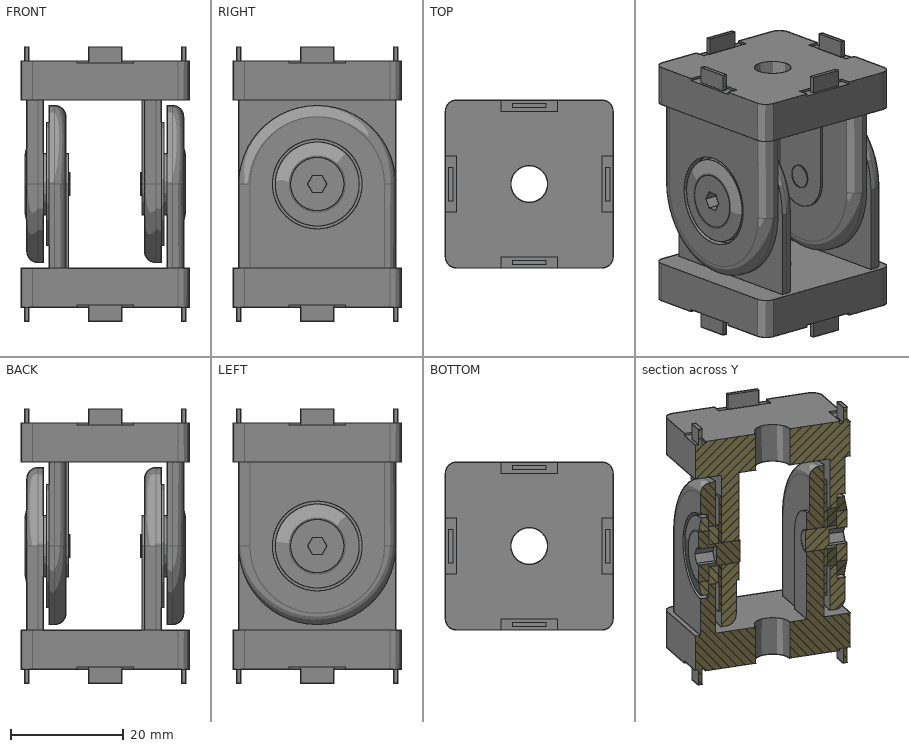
import cadquery as cq

total_height = 49.0
base_side = 30.0
base_thickness = 7.0
base_corner_radius = 2.0
base_hole_diameter = 6.5

tab_height = 2.5
tab_width = 6.0
tab_thickness = 0.8
tab_inset = 0.6
notch_width = 10.0
notch_reach = 2.0
notch_depth = 0.4

ear_radius = 14.0
ear_thickness = 3.0
ear_fillet = 2.0
ear_gap = 1.05
boss_height = 0.5
boss_width = 11.0

cap_diameter = 15.0
cap_rim_diameter = 10.0
cap_cone_height = 0.5
cap_protrusion = 0.35
cap_seat_depth = 1.5
cap_pocket_diameter = 16.0
hub_diameter = 11.0
washer_diameter = 22.0
washer_thickness = 0.5
head_diameter = 9.5
head_depth = 2.0
shank_diameter = 4.1
shank_overhang = 0.2
socket_across_flats = 3.0
socket_depth = 3.5

base_top = total_height / 2 - tab_height
base_bottom = base_top - base_thickness

outer_ear_face = -ear_radius
outer_ear_back = outer_ear_face + ear_thickness
inner_ear_back = outer_ear_back + ear_gap
inner_ear_face = inner_ear_back + ear_thickness
washer_face = inner_ear_back - washer_thickness
boss_face = inner_ear_face + boss_height
cap_face = outer_ear_face - cap_protrusion
cap_cone_base = cap_face + cap_cone_height
cap_seat = outer_ear_face + cap_seat_depth
head_seat = cap_face + head_depth
shank_end = boss_face + shank_overhang


def rod(diameter, x_start, x_end):
    """Solid cylinder on the pivot axis between two stations along X."""
    return cq.Workplane("YZ", origin=(x_start, 0, 0)).circle(diameter / 2).extrude(x_end - x_start)


def tongue(half_width, x_start, thickness):
    """Plate hanging from the upper base, its lower end rounded about the pivot axis."""
    return (
        cq.Workplane("YZ", origin=(x_start, 0, 0))
        .moveTo(-half_width, base_bottom)
        .lineTo(-half_width, 0)
        .threePointArc((0, -half_width), (half_width, 0))
        .lineTo(half_width, base_bottom)
        .close()
        .extrude(thickness)
    )


def make_ear(x_start):
    """Ear whose -X face is rounded over along the sides and the lower end."""
    ear = tongue(ear_radius, x_start, ear_thickness)
    return ear.faces("<X").edges("not >Z").fillet(ear_fillet)


def make_base():
    """Square base plate with its centre hole and four notched tabs."""
    base = (
        cq.Workplane("XY", origin=(0, 0, base_bottom))
        .rect(base_side, base_side)
        .extrude(base_thickness)
        .edges("|Z")
        .fillet(base_corner_radius)
    )
    base = base.cut(
        cq.Workplane("XY", origin=(0, 0, base_bottom)).circle(base_hole_diameter / 2).extrude(base_thickness)
    )
    notch_floor = base_top - notch_depth
    notch = cq.Workplane("XY", origin=(base_side / 2 - notch_reach / 2, 0, notch_floor))
    notch = notch.rect(notch_reach, notch_width).extrude(notch_depth)
    tab = cq.Workplane("XY", origin=(base_side / 2 - tab_inset - tab_thickness / 2, 0, notch_floor))
    tab = tab.rect(tab_thickness, tab_width).extrude(notch_depth + tab_height)
    for angle in (0, 90, 180, 270):
        base = base.cut(notch.rotate((0, 0, 0), (0, 0, 1), angle))
        base = base.union(tab.rotate((0, 0, 0), (0, 0, 1), angle))
    return base


def make_upper_yoke():
    """Upper yoke: outer ear of the left pivot and inner ear of the right pivot."""
    outer_ear = make_ear(outer_ear_face)
    outer_ear = outer_ear.cut(rod(cap_pocket_diameter, outer_ear_face, cap_seat))
    outer_ear = outer_ear.cut(rod(hub_diameter, cap_seat, outer_ear_back))

    inner_ear = make_ear(-inner_ear_face)
    inner_ear = inner_ear.union(tongue(boss_width / 2, -boss_face, boss_height))
    inner_ear = inner_ear.cut(rod(shank_diameter, -boss_face, -inner_ear_back))
    return make_base().union(outer_ear).union(inner_ear)


def make_cap():
    """Conical cap whose hub passes through the outer ear and bears on the washer."""
    cone = (
        cq.Workplane("YZ", origin=(cap_cone_base, 0, 0))
        .circle(cap_diameter / 2)
        .workplane(offset=-cap_cone_height)
        .circle(cap_rim_diameter / 2)
        .loft()
    )
    cap = cone.union(rod(cap_diameter, cap_cone_base, cap_seat))
    cap = cap.union(rod(hub_diameter, cap_seat, washer_face))
    cap = cap.cut(rod(head_diameter, cap_face, head_seat))
    return cap.cut(rod(shank_diameter, head_seat, washer_face))


def make_washer():
    """Friction washer between the two ears."""
    washer = rod(washer_diameter, washer_face, inner_ear_back)
    return washer.cut(rod(shank_diameter, washer_face, inner_ear_back))


def make_screw():
    """Pivot screw with a hexagon socket, its end standing just proud of the boss."""
    screw = rod(head_diameter, cap_face, head_seat).union(rod(shank_diameter, head_seat, shank_end))
    socket = (
        cq.Workplane("YZ", origin=(cap_face, 0, 0))
        .polygon(6, socket_across_flats, circumscribed=True)
        .extrude(socket_depth)
        .rotate((0, 0, 0), (1, 0, 0), 90)
    )
    return screw.cut(socket)


bodies = []
for make_body in (make_upper_yoke, make_cap, make_washer, make_screw):
    for turn in (0, 180):
        body = make_body().rotate((0, 0, 0), (0, 1, 0), turn)
        bodies.append(body.solids().val())

result = cq.Compound.makeCompound(bodies)